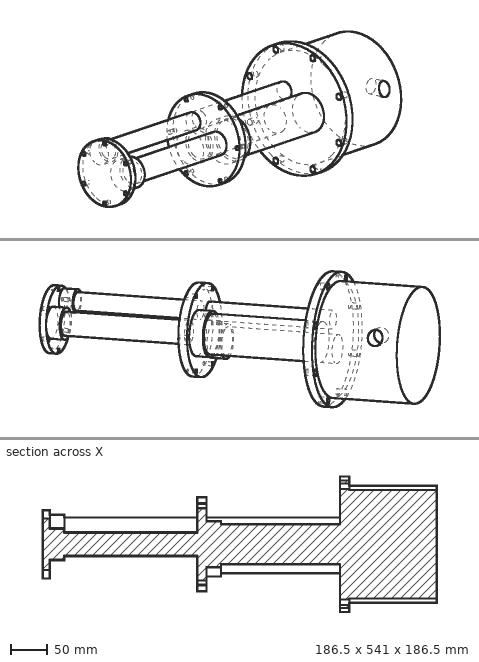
import cadquery as cq
import math

total_length = 541.0
drum_length = 120.0
flange_thickness = 13.0
middle_plate_thickness = 13.0
end_plate_thickness = 10.0
middle_sleeve_length = 20.0
end_sleeve_length = 20.0
end_span = 202.5

flange_radius = 186.5 / 2
drum_radius = 80.5
middle_plate_radius = 65.0
end_plate_radius = 47.0

flange_hole_diameter = 8.5
flange_bolt_radius = 86.0
flange_hole_count = 8
plate_hole_diameter = 5.5
plate_hole_count = 6
plate_hole_inset = 4.5

thin_axis = (-18.0, 24.0)
main_axis = (25.0, 0)
side_axis = (-34.0, -20.0)

thin_tube_radius = 13.0
thin_sleeve_radius = 17.0
main_tube_radius = 28.0
main_sleeve_radius = 32.0
main_end_tube_radius = 17.0
main_end_sleeve_radius = 22.0
side_tube_radius = 20.0
side_sleeve_radius = 24.5

port_radius = 11.0
port_height = 21.0
port_from_back = 33.0
port_floor_x = 54.0

drum_back = total_length / 2
flange_back = drum_back - drum_length
flange_front = flange_back - flange_thickness
end_plate_front = -total_length / 2
end_plate_back = end_plate_front + end_plate_thickness
middle_plate_front = end_plate_back + end_span
middle_plate_back = middle_plate_front + middle_plate_thickness


def rod(radius, front, back, axis=(0, 0)):
    """Solid cylinder along Y between two Y positions."""
    x, z = axis
    start = cq.Vector(x, front, z)
    return cq.Workplane(cq.Solid.makeCylinder(radius, back - front, start, cq.Vector(0, 1, 0)))


def bolted_disc(radius, front, back, hole_diameter, bolt_radius, count, first_angle):
    """Round plate with a circle of through holes."""
    disc = rod(radius, front, back)
    for index in range(count):
        angle = math.radians(first_angle + index * 360 / count)
        center = (bolt_radius * math.cos(angle), bolt_radius * math.sin(angle))
        disc = disc.cut(rod(hole_diameter / 2, front, back, center))
    return disc


def sleeved_tube(axis, tube_radius, sleeve_radius, sleeve_length, front, back):
    """Tube with a thicker sleeve at its front end."""
    tube = rod(tube_radius, front, back, axis)
    return tube.union(rod(sleeve_radius, front, front + sleeve_length, axis))


def drum():
    """Drum with a blind port parallel to X."""
    port_center = cq.Vector(port_floor_x, drum_back - port_from_back, port_height)
    port = cq.Solid.makeCylinder(port_radius, drum_radius - port_floor_x, port_center, cq.Vector(1, 0, 0))
    return rod(drum_radius, flange_back, drum_back).cut(cq.Workplane(port))


flange = bolted_disc(
    flange_radius, flange_front, flange_back,
    flange_hole_diameter, flange_bolt_radius, flange_hole_count, 180 / flange_hole_count,
)
middle_plate = bolted_disc(
    middle_plate_radius, middle_plate_front, middle_plate_back,
    plate_hole_diameter, middle_plate_radius - plate_hole_inset, plate_hole_count, 0,
)
end_plate = bolted_disc(
    end_plate_radius, end_plate_front, end_plate_back,
    plate_hole_diameter, end_plate_radius - plate_hole_inset, plate_hole_count, 180 / plate_hole_count,
)

thin_tube = sleeved_tube(
    thin_axis, thin_tube_radius, thin_sleeve_radius,
    end_sleeve_length, end_plate_back, flange_front,
)
main_end_tube = sleeved_tube(
    main_axis, main_end_tube_radius, main_end_sleeve_radius,
    end_sleeve_length, end_plate_back, middle_plate_front,
)
main_tube = sleeved_tube(
    main_axis, main_tube_radius, main_sleeve_radius,
    middle_sleeve_length, middle_plate_back, flange_front,
)
side_tube = sleeved_tube(
    side_axis, side_tube_radius, side_sleeve_radius,
    middle_sleeve_length, middle_plate_back, flange_front,
)

result = drum().union(flange)
for piece in (main_tube, side_tube, middle_plate, thin_tube, main_end_tube, end_plate):
    result = result.union(piece)